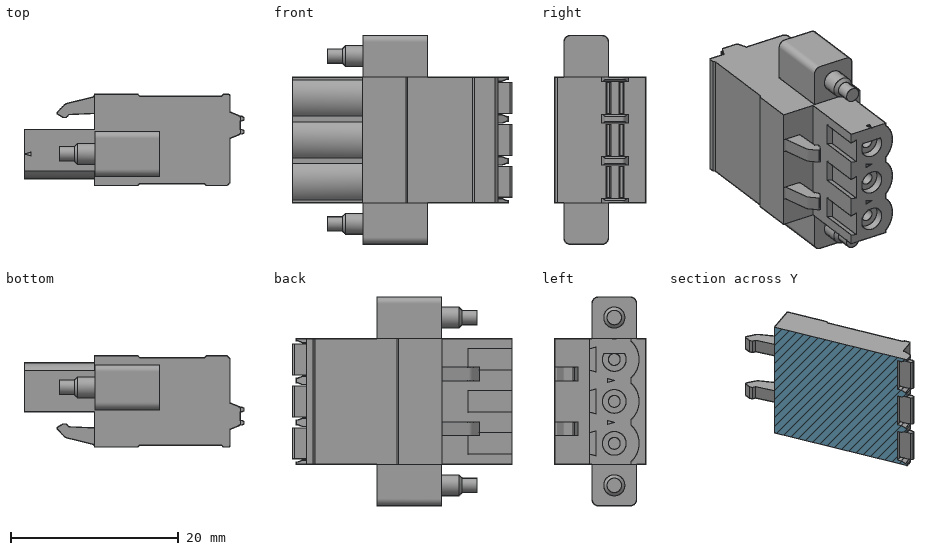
import cadquery as cq


POLE_COUNT = 3
PITCH = 5.0
BODY_HEIGHT = POLE_COUNT * PITCH
HALF_HEIGHT = BODY_HEIGHT / 2
POLE_Z = [(i - (POLE_COUNT - 1) / 2) * PITCH for i in range(POLE_COUNT)]
BETWEEN_POLES_Z = [(i - (POLE_COUNT - 2) / 2) * PITCH for i in range(POLE_COUNT - 1)]

TOTAL_LENGTH = 26.2
HOUSING_FRONT = 8.33
HOUSING_BACK = 24.52
HOUSING_TOP = 7.13
HOUSING_BOTTOM = -3.77
STEP_DEPTH = 0.2
FRONT_PAD_LENGTH = 5.2
TOP_LIP_LENGTH = 0.79
BOTTOM_LIP_LENGTH = 2.83
TOP_CORNER_RADIUS = 0.18
BOTTOM_CORNER_CHAMFER = 0.35

SLEEVE_RADIUS = 2.95
VALLEY_Y = -2.02
PLUG_TOP = 2.93
KEYWAY_DEPTH = 0.73
KEYWAY_LENGTH = 5.25
KEYWAY_OUTER_WIDTH = 2.57
KEYWAY_INNER_WIDTH = 2.95

BORE_RADIUS = 1.41
BORE_DEPTH = 1.05
CONTACT_RADIUS = 0.7
CONTACT_DEPTH = 5.25

MARK_LENGTH = 0.79
MARK_WIDTH = 0.45
MARK_DEPTH = 0.08

FLANGE_FRONT = 8.4
FLANGE_LENGTH = 7.7
FLANGE_WIDTH = 5.35
FLANGE_TOTAL_HEIGHT = 24.95
FLANGE_CORNER_RADIUS = 0.8
SCREW_Z = (POLE_COUNT + 1) / 2 * PITCH
SCREW_TIP = 4.17
SCREW_NECK_END = 5.95
SCREW_RADIUS = 1.25
NECK_RADIUS = 0.86
SCREW_CONE_LENGTH = SCREW_RADIUS - NECK_RADIUS

LATCH_Z = 3.28
LATCH_WIDTH = 1.62
LATCH_ROOT = (HOUSING_FRONT, 6.85)
LATCH_SHOULDER = (4.9, 6.0)
LATCH_ROOT_RADIUS = 0.2
LATCH_SHOULDER_RADIUS = 0.79
LATCH_ANCHOR_DEPTH = 0.25
LATCH_UNDERSIDE_Y = 4.82

RIB_CENTER_Y = 3.43
RIB_END = 25.75
RIB_TAPER_START = 25.0
RIB_TIP_LENGTH = 0.2
RIB_TIP_RADIUS = 0.3
RIB_ROOT_LENGTH = 3.17
RIB_END_LENGTH = 2.17
RIB_ROOT_WIDTH = 1.02
RIB_TIP_WIDTH = 0.58
BAR_WIDTH = 3.72
BAR_THICKNESS = 0.58
BAR_OFFSET = 0.79
BAR_BEVEL_LENGTH = 0.25
BAR_BEVEL_DEPTH = 0.13


def extrude_outline(points, z_center, height):
    """Extrude an XY outline symmetrically about a height z_center."""
    return cq.Workplane(origin=(0, 0, z_center)).polyline(points).close().extrude(height / 2, both=True)


def front_plane(x):
    """Sketch plane facing +X whose sketch axes are Y and Z."""
    return cq.Workplane("YZ", origin=(x, 0, 0))


def make_housing():
    waist_top = HOUSING_TOP - STEP_DEPTH
    waist_bottom = HOUSING_BOTTOM + STEP_DEPTH
    pad_end = HOUSING_FRONT + FRONT_PAD_LENGTH
    top_lip = HOUSING_BACK - TOP_LIP_LENGTH
    bottom_lip = HOUSING_BACK - BOTTOM_LIP_LENGTH
    outline = [
        (HOUSING_FRONT, HOUSING_BOTTOM),
        (pad_end, HOUSING_BOTTOM),
        (pad_end + STEP_DEPTH, waist_bottom),
        (bottom_lip - STEP_DEPTH, waist_bottom),
        (bottom_lip, HOUSING_BOTTOM),
        (HOUSING_BACK, HOUSING_BOTTOM),
        (HOUSING_BACK, HOUSING_TOP),
        (top_lip, HOUSING_TOP),
        (top_lip - STEP_DEPTH, waist_top),
        (pad_end + STEP_DEPTH, waist_top),
        (pad_end, HOUSING_TOP),
        (HOUSING_FRONT, HOUSING_TOP),
    ]
    housing = extrude_outline(outline, 0, BODY_HEIGHT)
    housing = housing.edges("|Z and >X and >Y").fillet(TOP_CORNER_RADIUS)
    return housing.edges("|Z and >X and <Y").chamfer(BOTTOM_CORNER_CHAMFER)


def make_plug():
    core = front_plane(0).center((VALLEY_Y + PLUG_TOP) / 2, 0)
    core = core.rect(PLUG_TOP - VALLEY_Y, BODY_HEIGHT).extrude(HOUSING_FRONT)
    sleeves = front_plane(0).pushPoints([(0, z) for z in POLE_Z]).circle(SLEEVE_RADIUS).extrude(HOUSING_FRONT)
    lower_half = front_plane(0).center(-SLEEVE_RADIUS / 2, 0)
    lower_half = lower_half.rect(SLEEVE_RADIUS, BODY_HEIGHT).extrude(HOUSING_FRONT)
    return core.union(sleeves.intersect(lower_half))


def make_keyway(z):
    outer = KEYWAY_OUTER_WIDTH / 2
    inner = KEYWAY_INNER_WIDTH / 2
    floor_y = PLUG_TOP - KEYWAY_DEPTH
    outline = [
        (PLUG_TOP, z - outer),
        (floor_y, z - inner),
        (floor_y, z + inner),
        (PLUG_TOP, z + outer),
    ]
    return front_plane(0).polyline(outline).close().extrude(KEYWAY_LENGTH)


def make_contact_opening(z):
    bore = front_plane(0).center(0, z).circle(BORE_RADIUS).extrude(BORE_DEPTH)
    if z == max(POLE_Z):
        keep = front_plane(0).center(0, z + CONTACT_RADIUS - BORE_RADIUS)
        bore = bore.intersect(keep.rect(2 * BORE_RADIUS, 2 * BORE_RADIUS).extrude(BORE_DEPTH))
    contact = front_plane(0).center(0, z).circle(CONTACT_RADIUS).extrude(CONTACT_DEPTH)
    return bore.union(contact)


def make_face_mark(z):
    """Triangular recess in the mating face with its apex on the contact axis."""
    outline = [(0, z), (MARK_LENGTH, z - MARK_WIDTH / 2), (MARK_LENGTH, z + MARK_WIDTH / 2)]
    return front_plane(0).polyline(outline).close().extrude(MARK_DEPTH)


def make_top_mark():
    """Triangular recess in the upper end of the plug with its apex on the mating face."""
    outline = [(0, 0), (MARK_LENGTH, -MARK_WIDTH / 2), (MARK_LENGTH, MARK_WIDTH / 2)]
    return extrude_outline(outline, HALF_HEIGHT, 2 * MARK_DEPTH)


def make_flange():
    flange = front_plane(FLANGE_FRONT).rect(FLANGE_WIDTH, FLANGE_TOTAL_HEIGHT).extrude(FLANGE_LENGTH)
    return flange.edges("|X").fillet(FLANGE_CORNER_RADIUS)


def make_screw(z):
    cone_end = SCREW_NECK_END + SCREW_CONE_LENGTH
    outline = [
        (SCREW_TIP, 0),
        (SCREW_TIP, NECK_RADIUS),
        (SCREW_NECK_END, NECK_RADIUS),
        (cone_end, SCREW_RADIUS),
        (FLANGE_FRONT, SCREW_RADIUS),
        (FLANGE_FRONT, 0),
    ]
    screw = cq.Workplane().polyline(outline).close().revolve(360, (0, 0, 0), (1, 0, 0))
    return screw.translate((0, 0, z))


def make_latch(z):
    """Snap arm, anchored in the housing so that its upper root can be rounded."""
    anchor_x = HOUSING_FRONT + LATCH_ANCHOR_DEPTH
    outline = [
        (anchor_x, LATCH_UNDERSIDE_Y),
        (anchor_x, HOUSING_TOP),
        (HOUSING_FRONT, HOUSING_TOP),
        LATCH_ROOT,
        LATCH_SHOULDER,
        (4.03, 5.1),
        (3.9, 4.95),
        (3.9, 4.77),
        (4.6, 4.35),
        (5.0, 4.35),
        (5.3, 4.7),
        (HOUSING_FRONT, LATCH_UNDERSIDE_Y),
    ]
    latch = extrude_outline(outline, z, LATCH_WIDTH)
    latch = latch.edges(cq.NearestToPointSelector((*LATCH_ROOT, z))).fillet(LATCH_ROOT_RADIUS)
    return latch.edges(cq.NearestToPointSelector((*LATCH_SHOULDER, z))).fillet(LATCH_SHOULDER_RADIUS)


def make_rib(z):
    """Wedge that narrows to the rear in both Y and Z and has rounded tip edges."""
    root = RIB_ROOT_WIDTH / 2
    tip = RIB_TIP_WIDTH / 2
    bevel_start = RIB_END - RIB_TIP_LENGTH
    side_outline = [
        (HOUSING_BACK, RIB_CENTER_Y - RIB_ROOT_LENGTH / 2),
        (RIB_END, RIB_CENTER_Y - RIB_END_LENGTH / 2),
        (RIB_END, RIB_CENTER_Y + RIB_END_LENGTH / 2),
        (HOUSING_BACK, RIB_CENTER_Y + RIB_ROOT_LENGTH / 2),
    ]
    width_outline = [
        (HOUSING_BACK, z - root),
        (RIB_TAPER_START, z - root),
        (bevel_start, z - tip),
        (RIB_END, z - tip),
        (RIB_END, z + tip),
        (bevel_start, z + tip),
        (RIB_TAPER_START, z + root),
        (HOUSING_BACK, z + root),
    ]
    wedge = extrude_outline(side_outline, z, RIB_ROOT_WIDTH)
    wedge = wedge.edges("|Z and >X").fillet(RIB_TIP_RADIUS)
    taper = cq.Workplane("XZ").polyline(width_outline).close().extrude(-HOUSING_TOP)
    return wedge.intersect(taper)


def make_bar(z, y_center):
    half = BAR_THICKNESS / 2
    bevel_start = TOTAL_LENGTH - BAR_BEVEL_LENGTH
    outline = [
        (HOUSING_BACK, y_center - half),
        (bevel_start, y_center - half),
        (TOTAL_LENGTH, y_center - half + BAR_BEVEL_DEPTH),
        (TOTAL_LENGTH, y_center + half - BAR_BEVEL_DEPTH),
        (bevel_start, y_center + half),
        (HOUSING_BACK, y_center + half),
    ]
    return extrude_outline(outline, z, BAR_WIDTH)


result = make_housing().union(make_flange()).union(make_plug())

for pole_z in POLE_Z:
    result = result.cut(make_keyway(pole_z)).cut(make_contact_opening(pole_z))
    for side in (-1, 1):
        result = result.union(make_bar(pole_z, RIB_CENTER_Y + side * BAR_OFFSET))

for mark_z in BETWEEN_POLES_Z:
    result = result.cut(make_face_mark(mark_z))
result = result.cut(make_top_mark())

housing_slice = cq.Workplane().box(TOTAL_LENGTH, 2 * HOUSING_TOP, BODY_HEIGHT, centered=(False, True, True))
for rib_z in [-HALF_HEIGHT] + BETWEEN_POLES_Z + [HALF_HEIGHT]:
    result = result.union(make_rib(rib_z).intersect(housing_slice))

for side in (-1, 1):
    result = result.union(make_screw(side * SCREW_Z))
    result = result.union(make_latch(side * LATCH_Z))